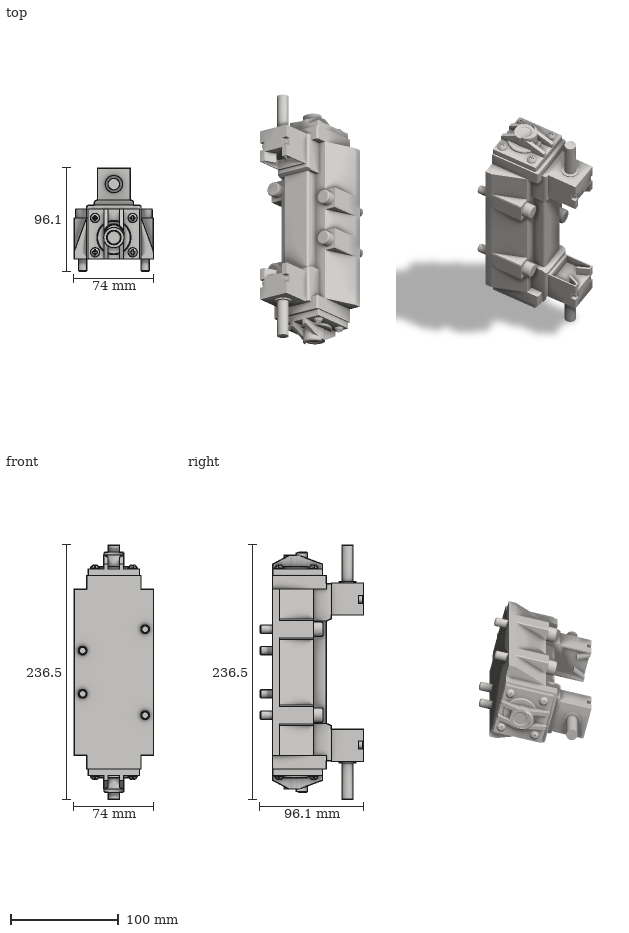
import cadquery as cq


total_length = 236.5
base_width = 74.0
base_half_length = 77.4
ear_height = 38.3
rim_height = 6.6
ear_width = 19.5
ear_bevel = (0.5, 1.5)
head_width = 50.9
head_height = 50.2
head_end = 90.1
ridge_width = 28.5
crown_fillet = 2.0

screw_x = 29.0
left_screw_z = 20.0
right_screw_z = 40.0
screw_dia = 8.0
screw_stickout = 11.4
screw_chamfer = 1.0
screw_head_dia = 13.5
screw_head_height = 8.5
screw_head_fillet = 1.5

mount_width = 36.7
mount_top = 55.0
mount_z = (47.5, 82.3)
mount_fillet = 2.5
mount_slope_rise = 2.1
coil_width = 30.8
coil_top = 84.7
coil_z = (53.0, 83.0)
coil_wall = 1.2
cavity_depth = 9.0
cavity_start = 57.5
cavity_mouth = 20.8
rib_free_end = (-5.2, 73.0)
rib_thickness = 2.1
window_height = 7.5
window_depth = 5.2
window_floor = 80.2
window_z = 67.7
post_dia = 7.0
post_top = 84.0
cable_dia = 10.6
cable_y = 69.8
gland_dia = 16.0
gland_height = 1.2

cover_width = 48.0
cover_front = 0.2
cover_back = 46.5
cover_top = 96.0
cover_fillet = 0.7
knob_y = 20.0
knob_top = 108.8
knob_dia = 19.0
knob_recess_dia = 13.5
knob_recess_floor_dia = 12.0
knob_recess_depth = 0.7
disc_dia = 31.7
disc_height = 2.4
disc_chamfer = 0.7
guard_y = 23.5
guard_dia = 18.7
guard_top = 111.7
guard_chamfer = 1.0
web_span = 18.0
web_thickness = 3.5
web_end_top = 100.5
web_slope_end = 4.3
cover_screw_x = 17.5
cover_screw_y = (6.5, 38.3)
cover_screw_dia = 8.5
cover_screw_rim = 1.0
cover_screw_shoulder_dia = 7.0
cover_screw_shoulder = 2.1
cover_screw_crown_dia = 3.5
cover_screw_height = 3.8
cross_length = 4.7
cross_width = 1.2
cross_depth = 2.0


def block(x_range, y_range, z_range):
    (x0, x1), (y0, y1), (z0, z1) = x_range, y_range, z_range
    return cq.Workplane("XY").box(x1 - x0, y1 - y0, z1 - z0, centered=False).translate((x0, y0, z0))


def centred_block(width, y_range, z_range):
    return block((-width / 2, width / 2), y_range, z_range)


def rod_z(x, y, diameter, z0, z1):
    return cq.Workplane("XY", origin=(x, y, z0)).circle(diameter / 2).extrude(z1 - z0)


def rod_y(x, z, diameter, y0, y1):
    return cq.Workplane("XZ", origin=(x, y0, z)).circle(diameter / 2).extrude(y0 - y1)


def both_sides(solid):
    return solid.union(solid.mirror("YZ"))


def flank_pocket(side, z0, z1):
    """Wedge that slants one flank from the rim to the end-block width, between two Z levels."""
    outer = side * base_width / 2
    outline = [(outer, rim_height), (side * head_width / 2, ear_height), (outer, ear_height)]
    return cq.Workplane("XY", origin=(0, 0, z0)).polyline(outline).close().extrude(z1 - z0)


def ear_bevel_cut(side, ear_z, direction):
    """Corner strip along the outer edge of an ear, on its upper (+1) or lower (-1) wall."""
    bevel_x, bevel_z = ear_bevel
    outer = side * base_width / 2
    wall = ear_z + direction * ear_width / 2
    outline = [(outer, wall), (outer - side * bevel_x, wall), (outer, wall - direction * bevel_z)]
    strip = cq.Workplane("XZ", origin=(0, rim_height, 0)).polyline(outline).close()
    return strip.extrude(rim_height - ear_height)


def body():
    base = centred_block(base_width, (0, ear_height), (-base_half_length, base_half_length))
    for side, screw_z in ((-1, left_screw_z), (1, right_screw_z)):
        inner = screw_z - ear_width / 2
        outer = screw_z + ear_width / 2
        for z0, z1 in ((-base_half_length, -outer), (-inner, inner), (outer, base_half_length)):
            base = base.cut(flank_pocket(side, z0, z1))
        for ear_z in (-screw_z, screw_z):
            for direction in (-1, 1):
                base = base.cut(ear_bevel_cut(side, ear_z, direction))
    ridge = centred_block(ridge_width, (0, head_height), (-head_end, head_end))
    solid = base.union(ridge.edges("|Z and >Y").fillet(crown_fillet))
    for z0, z1 in ((base_half_length, head_end), (-head_end, -base_half_length)):
        head = centred_block(head_width, (0, head_height), (z0, z1))
        solid = solid.union(head.edges("|Z and >Y").fillet(crown_fillet))
    return solid


def mounting_screw(x, z):
    shank = rod_y(x, z, screw_dia, -screw_stickout, ear_height).faces("<Y").chamfer(screw_chamfer)
    head = rod_y(x, z, screw_head_dia, ear_height, ear_height + screw_head_height)
    return shank.union(head.faces(">Y").edges().fillet(screw_head_fillet))


def solenoid_mount():
    z0, z1 = mount_z
    mount = centred_block(mount_width, (rim_height, mount_top), mount_z)
    mount = mount.edges("|Z and >Y").fillet(mount_fillet)
    slope = (
        cq.Workplane("YZ", origin=(-mount_width / 2, 0, 0))
        .polyline([(head_height, z0), (mount_top, z0 + mount_slope_rise), (mount_top, z0)])
        .close()
        .extrude(mount_width)
    )
    return mount.cut(slope)


def coil_rib(z0, z1):
    """Slanted rib from the outer wall of the coil housing to a free end inside its cavity."""
    free_x, free_y = rib_free_end
    mouth_x = -cavity_mouth / 2
    outline = [
        (mouth_x - rib_thickness, coil_top),
        (mouth_x, coil_top),
        (free_x, free_y),
        (free_x - rib_thickness, free_y),
    ]
    return cq.Workplane("XY", origin=(0, 0, z0)).polyline(outline).close().extrude(z1 - z0)


def coil():
    z0, z1 = coil_z
    floor = z0 + cavity_depth
    housing = centred_block(coil_width, (mount_top, coil_top), coil_z)
    cavity = centred_block(coil_width - 2 * coil_wall, (cavity_start, coil_top - coil_wall), (z0, floor))
    mouth = centred_block(cavity_mouth, (cavity_start, coil_top), (z0, floor))
    housing = housing.cut(cavity).cut(mouth).union(both_sides(coil_rib(z0, floor)))

    window_x = (-coil_width / 2, -coil_width / 2 + window_depth)
    window_span = (window_z - window_height / 2, window_z + window_height / 2)
    window = block(window_x, (window_floor, coil_top), window_span)
    post = rod_y(window_x[1], window_z, post_dia, window_floor, post_top)
    return housing.cut(both_sides(window)).union(both_sides(post))


def cable():
    gland = rod_z(0, cable_y, gland_dia, coil_z[1], coil_z[1] + gland_height)
    return gland.union(rod_z(0, cable_y, cable_dia, coil_z[1], total_length / 2))


def cover_screw():
    """Cross-recessed screw head with two conical steps, standing on z = 0."""
    radius = cover_screw_dia / 2
    crown = cover_screw_crown_dia / 2
    shoulder = cover_screw_shoulder_dia / 2
    head = (
        cq.Workplane("XZ")
        .lineTo(radius, 0)
        .lineTo(radius, cover_screw_rim)
        .lineTo(shoulder, cover_screw_shoulder)
        .lineTo(crown, cover_screw_height)
        .lineTo(0, cover_screw_height)
        .close()
        .revolve(360, (0, 0, 0), (0, 1, 0))
    )
    slot_z = (cover_screw_height - cross_depth, cover_screw_height)
    arm = (-cross_length / 2, cross_length / 2)
    half_slot = (-cross_width / 2, cross_width / 2)
    return head.cut(block(arm, half_slot, slot_z)).cut(block(half_slot, arm, slot_z))


def cover_webs():
    outline = [
        (cover_front, cover_top),
        (cover_front, web_end_top),
        (knob_y - web_slope_end, knob_top),
        (knob_y + web_slope_end, knob_top),
        (cover_back, web_end_top),
        (cover_back, cover_top),
    ]
    web = (
        cq.Workplane("YZ", origin=(-web_span / 2, 0, 0))
        .polyline(outline)
        .close()
        .extrude(web_thickness)
    )
    return both_sides(web)


def knob():
    guard = rod_z(0, guard_y, guard_dia, cover_top, guard_top).faces(">Z").chamfer(guard_chamfer)
    guard = guard.cut(rod_z(0, knob_y, knob_dia, knob_top, guard_top))
    button = rod_z(0, knob_y, knob_dia, cover_top, knob_top)
    recess = (
        cq.Workplane("XY", origin=(0, knob_y, knob_top))
        .circle(knob_recess_dia / 2)
        .workplane(offset=-knob_recess_depth)
        .circle(knob_recess_floor_dia / 2)
        .loft()
    )
    return guard.union(button).union(cover_webs()).cut(recess)


def end_cover():
    plate = centred_block(cover_width, (cover_front, cover_back), (head_end, cover_top))
    cover = plate.edges("|Z").fillet(cover_fillet)
    disc = rod_z(0, knob_y, disc_dia, cover_top, cover_top + disc_height)
    cover = cover.union(disc.faces(">Z").chamfer(disc_chamfer)).union(knob())
    for x in (-cover_screw_x, cover_screw_x):
        for y in cover_screw_y:
            cover = cover.union(cover_screw().translate((x, y, cover_top)))
    return cover


upper_parts = [
    mounting_screw(-screw_x, left_screw_z),
    mounting_screw(screw_x, right_screw_z),
    solenoid_mount(),
    coil(),
    cable(),
    end_cover(),
]

result = body()
for part in upper_parts:
    result = result.union(part).union(part.mirror("XY"))